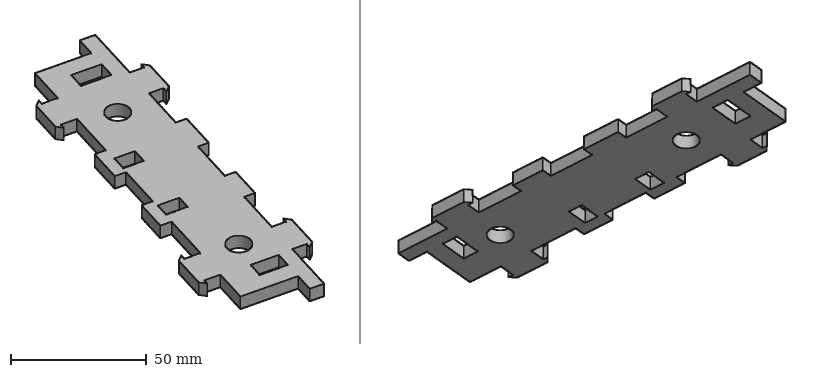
import cadquery as cq

length = 169.8
width = 48.2
thickness = 6.0

body_length = 152.5
body_back = 15.6
body_front = -15.0

left_arm_front = 9.0
right_arm_front = 9.5

back_tab_edge = 20.2
front_tab_edge = -19.7
left_tab_inner = -8.7
right_tab_inner = 11.2
back_left_tab_width = 16.5
back_right_tab_width = 14.5
front_left_tab_width = 15.0
front_right_tab_width = 14.0

barb_height = 2.4
barb_overhang = 2.2
left_snap_outer = -59.3
right_snap_outer = 61.3
left_snap_width = 14.3
back_right_snap_width = 15.3
front_right_snap_width = 14.8

hole_diameter = 10.0
left_hole_x = -41.0
right_hole_x = 48.9

left_slot_outer = -68.6
left_slot_width = 7.3
left_slot_length = 12.9
right_slot_outer = 68.6
right_slot_width = 6.8
right_slot_length = 11.9
tab_slot_front = -14.6
left_tab_slot_x = -17.8
left_tab_slot_width = 6.6
left_tab_slot_length = 8.7
right_tab_slot_x = 14.3
right_tab_slot_width = 6.1
right_tab_slot_length = 9.2


def block(x_min, x_max, y_min, y_max):
    """Full-thickness rectangular block between the given limits."""
    return cq.Workplane("XY").box(
        x_max - x_min, y_max - y_min, thickness, centered=False
    ).translate((x_min, y_min, 0))


def snap_tab(x_min, x_max, root_y, side):
    """Neck with a barbed head; side is +1 on the back edge, -1 on the front."""
    tip_y = side * width / 2
    barb_y = tip_y - side * barb_height
    outline = [
        (x_min, root_y),
        (x_min, barb_y),
        (x_min - barb_overhang, barb_y),
        (x_min, tip_y),
        (x_max, tip_y),
        (x_max + barb_overhang, barb_y),
        (x_max, barb_y),
        (x_max, root_y),
    ]
    return cq.Workplane("XY").polyline(outline).close().extrude(thickness)


plate = block(-body_length / 2, body_length / 2, body_front, body_back)
plate = plate.union(block(-length / 2, -body_length / 2, left_arm_front, body_back))
plate = plate.union(block(body_length / 2, length / 2, right_arm_front, body_back))

for left_width, right_width, y_min, y_max in (
    (back_left_tab_width, back_right_tab_width, body_back, back_tab_edge),
    (front_left_tab_width, front_right_tab_width, front_tab_edge, body_front),
):
    plate = plate.union(block(left_tab_inner - left_width, left_tab_inner, y_min, y_max))
    plate = plate.union(block(right_tab_inner, right_tab_inner + right_width, y_min, y_max))

for side, root_y, right_width in (
    (1, body_back, back_right_snap_width),
    (-1, body_front, front_right_snap_width),
):
    left_snap_inner = left_snap_outer + left_snap_width
    right_snap_inner = right_snap_outer - right_width
    plate = plate.union(snap_tab(left_snap_outer, left_snap_inner, root_y, side))
    plate = plate.union(snap_tab(right_snap_inner, right_snap_outer, root_y, side))

plate = plate.cut(block(
    left_slot_outer,
    left_slot_outer + left_slot_width,
    left_arm_front - left_slot_length,
    left_arm_front,
))
plate = plate.cut(block(
    right_slot_outer - right_slot_width,
    right_slot_outer,
    right_arm_front - right_slot_length,
    right_arm_front,
))

for x_min, slot_width, slot_length in (
    (left_tab_slot_x, left_tab_slot_width, left_tab_slot_length),
    (right_tab_slot_x, right_tab_slot_width, right_tab_slot_length),
):
    plate = plate.cut(block(x_min, x_min + slot_width, tab_slot_front, tab_slot_front + slot_length))

holes = (
    cq.Workplane("XY")
    .pushPoints([(left_hole_x, 0), (right_hole_x, 0)])
    .circle(hole_diameter / 2)
    .extrude(thickness)
)
result = plate.cut(holes)